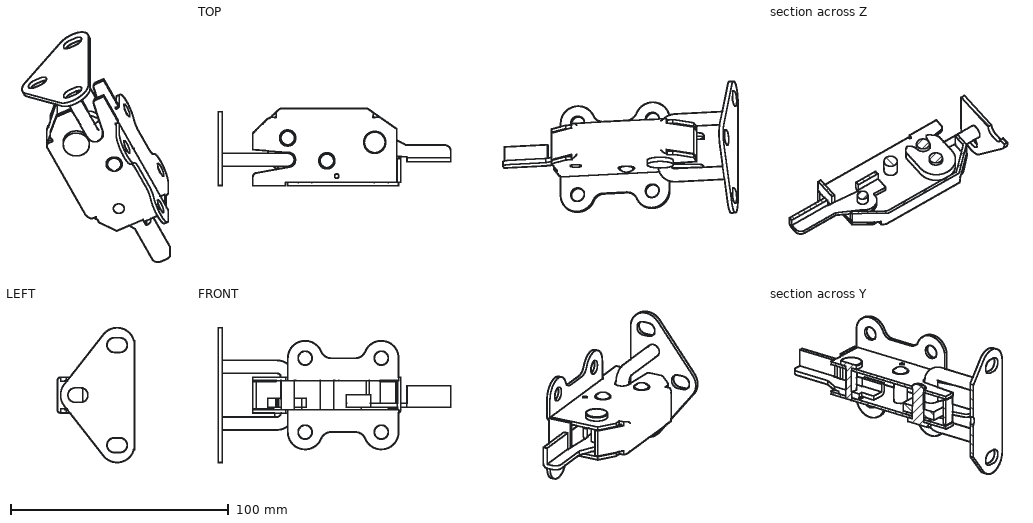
import cadquery as cq
import math


sheet = 1.6
outer_half = 8.25
inner_half = outer_half - sheet
housing_depth = 35.6
plate_left = 15.9
plate_right = 82.2
web_left = 28.5
web_right = 68.6
plate_left_slope_y = 24.2
plate_left_knee = (22.5, 30.7)
plate_left_relief_x = 24.1
right_slope_y = 26.1
tab_half = 6.3
left_tab_slope_y = 23.9
left_lip_end_y = 17.0
right_tab_end_y = 24.5
relief_y = 31.5
relief_left = 26.7
relief_right = 71.3
anchor_hole_at = (54.5, 4.5)
anchor_hole_dia = 2.0

mouth_end = (32.3, 12.0)
mouth_radius = 3.3
mouth_upper_angle = math.radians(4.5)
mouth_lower_angle = math.radians(10.3)
mouth_corner_radius = 2.0

lobe_radius = 8.0
lobe_left = 40.0
lobe_right = 75.0
lobe_z = 17.0
flange_hole_dia = 6.3
waist_radius = 5.0
jaw_end = 31.1
flange_left = lobe_left - lobe_radius
flange_right = lobe_right + lobe_radius

end_tab_inner = 82.4
end_tab_outer = end_tab_inner + sheet
end_tab_top = 12.6

catch_pin_at = (32.0, 22.0)
stop_pin_at = (50.0, 11.5)
lever_pin_at = (72.0, 20.0)
pin_dia = 6.2
dome_dia = 7.4
dome_height = 1.8
lever_pin_dia = 5.0
lever_head_dia = 10.1
lever_head_height = 2.0
lever_head_chamfer = 0.3
catch_head_dia = 12.1
catch_head_height = 2.0

washer_dia = 13.1
washer_height = 1.0
moving_bottom = -inner_half + washer_height

catch_thickness = 4.2
catch_left = 22.9
catch_right = 40.6
fork_x = 32.0
fork_y = 12.0
fork_radius = 3.3
prong_tip_y = 8.0
left_front_x = 24.3
left_front_rise = 1.8
left_corner_radius = 3.7
left_tip_x = (26.6, 27.2)
left_tip_chamfer = 0.6
right_tip_x = (36.9, 38.4)
right_tip_rise = 0.6
right_curve_rise = 2.6
prong_side_radius = 6.0
prong_tip_radius = 3.0

lever_thickness = 2.0
lever_boss_dia = 12.4
lever_hub_radius = 6.2
lip_left = 59.0
lip_right = 70.1
lip_front = 12.1
lip_top = 0.2
lip_back_y = 20.2
ledge_end = 72.1
ledge_y = 14.4
neck_x = 85.1
neck_y = 13.3
grip_left = 86.8
grip_right = 107.0
grip_front = 11.0
grip_back = 18.8
grip_top = 4.4
grip_corner_radius = 3.0
shoulder_x = 86.4
shoulder_angle = math.radians(27.5)

striker_thickness = 2.0
striker_y = 0.1
striker_radius = 8.0
striker_slot_length = 9.2
striker_slot_width = 6.6
base_slot_y = striker_y + striker_radius
base_slot_z = 23.0
nose_slot_y = base_slot_y + 18.0
bolt_dia = 6.1
bolt_x = 32.0
bolt_y = 12.0
bolt_z = 13.0
bolt_bend = 5.0


def block(x0, x1, y0, y1, z0, z1):
    """Box between the given limits."""
    return cq.Workplane("XY").box(x1 - x0, y1 - y0, z1 - z0, centered=False).translate((x0, y0, z0))


def disc(at, diameter, z0, z1):
    """Upright cylinder centred on the point `at`."""
    return cq.Workplane("XY").workplane(offset=z0).center(*at).circle(diameter / 2).extrude(z1 - z0)


def prism(points, z0, z1):
    """Upright prism on a closed polygon."""
    return cq.Workplane("XY").workplane(offset=z0).polyline(points).close().extrude(z1 - z0)


def mouth_cutter():
    cx, cy = mouth_end
    outside = plate_left - 1
    up_x = cx + mouth_radius * math.sin(mouth_upper_angle)
    up_y = cy + mouth_radius * math.cos(mouth_upper_angle)
    low_x = cx + mouth_radius * math.sin(mouth_lower_angle)
    low_y = cy - mouth_radius * math.cos(mouth_lower_angle)
    return (
        cq.Workplane("XY").workplane(offset=-outer_half)
        .moveTo(outside, up_y + (up_x - outside) * math.tan(mouth_upper_angle))
        .lineTo(up_x, up_y)
        .threePointArc((cx + mouth_radius, cy), (low_x, low_y))
        .lineTo(outside, low_y - (low_x - outside) * math.tan(mouth_lower_angle))
        .close().extrude(2 * outer_half)
    )


def side_plates():
    outline = [
        (plate_left, 0),
        (jaw_end, 0),
        (jaw_end, sheet),
        (plate_right, sheet),
        (plate_right, right_slope_y),
        (right_tab_outer_x(relief_y), relief_y),
        (plate_left_relief_x, relief_y),
        plate_left_knee,
        (plate_left, plate_left_slope_y),
    ]
    upper = prism(outline, inner_half, outer_half)
    upper = upper.cut(disc(anchor_hole_at, anchor_hole_dia, inner_half, outer_half))
    lower = prism(outline, -outer_half, -inner_half)
    plates = upper.union(lower).cut(mouth_cutter())
    at_lower_jaw = cq.selectors.BoxSelector(
        (plate_left - 1, sheet, -outer_half), (plate_left + 1, mouth_end[1] - mouth_radius, outer_half)
    )
    return plates.edges("|Z").edges(at_lower_jaw).fillet(mouth_corner_radius)


def right_tab_outer_x(y):
    """X of the right tab's outer face at height y."""
    return web_right + (housing_depth - y) * (plate_right - web_right) / (housing_depth - right_slope_y)


def back_web():
    """Back web with a slanted tab at each end, one sheet thick."""
    outline = [
        (plate_left, left_lip_end_y),
        (plate_left + sheet, left_lip_end_y),
        (plate_right - sheet, right_tab_end_y),
        (plate_right, right_tab_end_y),
        (plate_right, right_slope_y),
        (web_right, housing_depth),
        (web_left, housing_depth),
        (plate_left, left_tab_slope_y),
    ]
    tabs = prism(outline, -tab_half, tab_half).edges("|Z and >Y").fillet(sheet)
    web = prism(outline, -outer_half, outer_half).edges("|Z and >Y").fillet(sheet)
    rounded_bar = block(relief_left, relief_right, 0, housing_depth, -outer_half, outer_half)
    web = web.intersect(rounded_bar.edges("|X and >Y").fillet(sheet))
    return tabs.union(web).cut(cavity())


def cavity():
    """Space between the side plates, behind the lip and the tabs."""
    left_rise = (housing_depth - left_tab_slope_y) / (web_left - plate_left)
    right_rise = (housing_depth - right_slope_y) / (plate_right - web_right)
    left_drop = sheet * math.hypot(1, left_rise)
    right_drop = sheet * math.hypot(1, right_rise)
    lip_x = plate_left + sheet
    outline = [
        (lip_x, 0),
        (lip_x, left_tab_slope_y + left_rise * sheet - left_drop),
        (web_left + (left_drop - sheet) / left_rise, housing_depth - sheet),
        (web_right - (right_drop - sheet) / right_rise, housing_depth - sheet),
        (plate_right, right_slope_y - right_drop),
        (plate_right, 0),
    ]
    return prism(outline, -inner_half, inner_half)


def flange():
    """Upper mounting flange with the bend that joins it to the side plate."""
    reach = math.sqrt((lobe_radius + waist_radius) ** 2 - waist_radius ** 2)
    slope = math.atan2(waist_radius, reach)
    touch_dx = lobe_radius * math.cos(slope)
    touch_z = lobe_z + lobe_radius * math.sin(slope)
    mid_angle = (math.pi / 2 + slope) / 2
    mid_dx = reach - waist_radius * math.cos(mid_angle)
    mid_z = lobe_z + waist_radius - waist_radius * math.sin(mid_angle)
    lobe_top = lobe_z + lobe_radius
    plate = (
        cq.Workplane("XZ").moveTo(flange_left, outer_half)
        .lineTo(flange_left, lobe_z)
        .threePointArc((lobe_left, lobe_top), (lobe_left + touch_dx, touch_z))
        .threePointArc((lobe_left + mid_dx, mid_z), (lobe_left + reach, lobe_z))
        .lineTo(lobe_right - reach, lobe_z)
        .threePointArc((lobe_right - mid_dx, mid_z), (lobe_right - touch_dx, touch_z))
        .threePointArc((lobe_right, lobe_top), (flange_right, lobe_z))
        .lineTo(flange_right, outer_half)
        .close().extrude(-sheet)
    )
    holes = (
        cq.Workplane("XZ").pushPoints([(lobe_left, lobe_z), (lobe_right, lobe_z)])
        .circle(flange_hole_dia / 2).extrude(-sheet)
    )
    bend_block = block(flange_left, flange_right, 0, sheet, inner_half, outer_half)
    bend_round = (
        cq.Workplane("YZ", origin=(flange_left, sheet, outer_half))
        .circle(sheet).extrude(flange_right - flange_left)
    )
    return plate.cut(holes).union(bend_block.intersect(bend_round))


def end_tab():
    """Tab bent up from the lower side plate."""
    tab = block(plate_right, end_tab_outer, sheet, end_tab_top, -outer_half, outer_half)
    tab = tab.edges("|Y").edges(">X and <Z").fillet(sheet)
    return tab.cut(block(plate_right, end_tab_inner, sheet, end_tab_top, -inner_half, outer_half))


def make_housing():
    upper_flange = flange()
    body = side_plates().union(back_web()).union(end_tab())
    body = body.union(upper_flange).union(upper_flange.mirror("XY"))
    for at, diameter in ((catch_pin_at, pin_dia), (stop_pin_at, pin_dia), (lever_pin_at, lever_pin_dia)):
        body = body.cut(disc(at, diameter, -outer_half, outer_half))
    return body


def dome(at):
    """Spherical rivet head standing on the upper side plate."""
    base_radius = dome_dia / 2
    ball_radius = (base_radius ** 2 + dome_height ** 2) / (2 * dome_height)
    centre_z = outer_half + dome_height - ball_radius
    ball = cq.Workplane("XY").sphere(ball_radius).translate((*at, centre_z))
    return ball.intersect(disc(at, dome_dia, outer_half, outer_half + dome_height))


def make_stop_pin():
    head = dome(stop_pin_at)
    return disc(stop_pin_at, pin_dia, -outer_half, outer_half).union(head).union(head.mirror("XY"))


def make_catch_pin():
    lower_head = disc(catch_pin_at, catch_head_dia, -outer_half - catch_head_height, -outer_half)
    return disc(catch_pin_at, pin_dia, -outer_half, outer_half).union(dome(catch_pin_at)).union(lower_head)


def make_lever_pin():
    head = disc(lever_pin_at, lever_head_dia, outer_half, outer_half + lever_head_height)
    head = head.faces(">Z").chamfer(lever_head_chamfer)
    return disc(lever_pin_at, lever_pin_dia, -outer_half, outer_half).union(head)


def make_washer():
    ring = disc(catch_pin_at, washer_dia, -inner_half, moving_bottom)
    return ring.cut(disc(catch_pin_at, pin_dia, -inner_half, moving_bottom))


def make_catch():
    """Fork whose two prongs straddle the striker bolt."""
    pin_y = catch_pin_at[1]
    half_width = (catch_right - catch_left) / 2
    left_front_y = prong_tip_y + left_front_rise
    slant = math.acos(1 - (left_front_x - catch_left) / left_corner_radius)
    fork = (
        cq.Workplane("XY").workplane(offset=moving_bottom)
        .moveTo(catch_left, left_front_y + left_corner_radius * math.sin(slant))
        .radiusArc((left_front_x, left_front_y), -left_corner_radius)
        .lineTo(left_tip_x[0], prong_tip_y)
        .lineTo(left_tip_x[1], prong_tip_y)
        .lineTo(left_tip_x[1] + left_tip_chamfer, prong_tip_y + left_tip_chamfer)
        .lineTo(fork_x - fork_radius, fork_y)
        .threePointArc((fork_x, fork_y + fork_radius), (fork_x + fork_radius, fork_y))
        .radiusArc((right_tip_x[0], prong_tip_y + right_tip_rise), -prong_side_radius)
        .radiusArc((right_tip_x[1], prong_tip_y), -prong_tip_radius)
        .radiusArc((catch_right, prong_tip_y + right_curve_rise), -prong_side_radius)
        .lineTo(catch_right, pin_y)
        .threePointArc((catch_left + half_width, pin_y + half_width), (catch_left, pin_y))
        .close().extrude(catch_thickness)
    )
    return fork.cut(disc(catch_pin_at, pin_dia, moving_bottom, moving_bottom + catch_thickness))


def make_lever():
    """Flat lever with a lip and a grip bent up along its front edge."""
    pin_x, pin_y = lever_pin_at
    hub_back = pin_y + lever_hub_radius
    shoulder_end_x = pin_x + lever_hub_radius * math.sin(shoulder_angle)
    shoulder_end_y = grip_back + (shoulder_x - shoulder_end_x) * math.tan(shoulder_angle)
    blade = (
        cq.Workplane("XY").workplane(offset=moving_bottom)
        .moveTo(lip_left, lip_front)
        .lineTo(lip_right, lip_front)
        .lineTo(lip_right, ledge_y)
        .lineTo(ledge_end, ledge_y)
        .lineTo(neck_x, neck_y)
        .lineTo(grip_left, neck_y)
        .lineTo(grip_left, grip_front)
        .lineTo(grip_right, grip_front)
        .lineTo(grip_right, grip_back - grip_corner_radius)
        .radiusArc((grip_right - grip_corner_radius, grip_back), -grip_corner_radius)
        .lineTo(shoulder_x, grip_back)
        .lineTo(shoulder_end_x, shoulder_end_y)
        .threePointArc((pin_x, hub_back), (pin_x - lever_hub_radius, pin_y))
        .lineTo(lip_left, lip_back_y)
        .close().extrude(lever_thickness)
    )
    body = blade
    for x0, x1, front, top in (
        (lip_left, lip_right, lip_front, lip_top),
        (grip_left, grip_right, grip_front, grip_top),
    ):
        upright = block(x0, x1, front, front + lever_thickness, moving_bottom, top)
        bend = cq.selectors.NearestToPointSelector(((x0 + x1) / 2, front, moving_bottom))
        body = body.union(upright).edges("|X").edges(bend).fillet(lever_thickness)
    body = body.union(disc(lever_pin_at, lever_boss_dia, -inner_half, moving_bottom))
    return body.cut(disc(lever_pin_at, lever_pin_dia, -inner_half, moving_bottom + lever_thickness))


def make_striker_plate():
    centres = [
        (base_slot_y, base_slot_z),
        (base_slot_y, -base_slot_z),
        (nose_slot_y, 0),
    ]
    plate = cq.Workplane("YZ").polyline(centres).close().offset2D(striker_radius).extrude(striker_thickness)
    slots = cq.Workplane("YZ").pushPoints(centres).slot2D(striker_slot_length, striker_slot_width)
    return plate.cut(slots.extrude(striker_thickness))


def make_bolt():
    bend_x = bolt_x - bolt_bend
    straight_z = bolt_z - bolt_bend
    corner = bolt_bend * math.sin(math.pi / 4)
    path = (
        cq.Workplane("XZ", origin=(0, bolt_y, 0)).moveTo(striker_thickness, bolt_z)
        .lineTo(bend_x, bolt_z)
        .threePointArc((bend_x + corner, straight_z + corner), (bolt_x, straight_z))
        .lineTo(bolt_x, -straight_z)
        .threePointArc((bend_x + corner, -straight_z - corner), (bend_x, -bolt_z))
        .lineTo(striker_thickness, -bolt_z)
    )
    start = cq.Workplane("YZ", origin=(striker_thickness, bolt_y, bolt_z))
    return start.circle(bolt_dia / 2).sweep(path)


housing = make_housing()
striker_plate = make_striker_plate()
bolt = make_bolt()
catch = make_catch()
washer = make_washer()
lever = make_lever()
catch_pin = make_catch_pin()
stop_pin = make_stop_pin()
lever_pin = make_lever_pin()

bodies = [housing, striker_plate, bolt, catch, washer, lever, catch_pin, stop_pin, lever_pin]
result = cq.Compound.makeCompound([body.solids().val() for body in bodies])